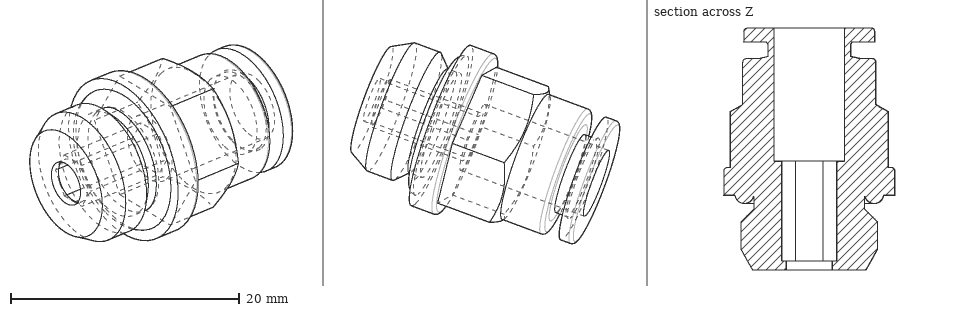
import cadquery as cq
import math

length = 21.2

thread_radius = 12.0 / 2
tip_radius = 9.96 / 2
tip_length = 1.82
thread_end = 4.2
undercut_radius = 9.7 / 2
undercut_start = thread_end + thread_radius - undercut_radius

seal_radius = 13.05 / 2
seal_start = 5.8
seal_section_radius = (seal_radius - undercut_radius) / 2

flange_radius = 15.0 / 2
flange_start = 6.53
flange_end = 8.99
flange_round = 0.32

hex_across_flats = 12.0
hex_end = 14.5
hex_chamfer_angle = 30.0

body_radius = 11.7 / 2
body_end = 18.53
body_round = 0.34
cone_radius = 8.99 / 2
cone_height = 0.2

neck_radius = 7.3 / 2
collar_radius = 11.5 / 2
collar_start = length - 1.23
collar_round = 0.3
neck_flare_width = 0.13
neck_flare_height = 0.2

bore_diameter = 4.0
bore_length = 0.8
key_across_flats = 4.15
tube_diameter = 6.15
tube_socket_start = 9.55


def corner_diameter(across_flats):
    """Diameter through the corners of a regular hexagon."""
    return across_flats / math.cos(math.pi / 6)


def section(start):
    """Sketch plane across the axis at Y = start; its normal points toward -Y."""
    return cq.Workplane("XZ", origin=(0, start, 0))


def hexagon(across_flats, start, end):
    """Hexagonal prism along Y with corners on the X axis."""
    return section(start).polygon(6, corner_diameter(across_flats)).extrude(start - end)


def cylinder(diameter, start, end):
    return section(start).circle(diameter / 2).extrude(start - end)


def revolve_profile(profile):
    return profile.close().revolve(360, (0, 0, 0), (0, 1, 0))


def rounded_disc(radius, start, end, edge_round):
    """Disc along Y with its outer edge rounded at the tube end."""
    return cylinder(2 * radius, start, end).faces(">Y").edges().fillet(edge_round)


def make_threaded_end():
    return revolve_profile(
        cq.Workplane("XY")
        .moveTo(0, 0)
        .lineTo(tip_radius, 0)
        .lineTo(thread_radius, tip_length)
        .lineTo(thread_radius, thread_end)
        .lineTo(undercut_radius, undercut_start)
        .lineTo(undercut_radius, flange_start)
        .lineTo(0, flange_start)
    )


def make_seal():
    """O-ring with a round section that touches the undercut."""
    return (
        cq.Workplane("XY")
        .moveTo(undercut_radius + seal_section_radius, seal_start + seal_section_radius)
        .circle(seal_section_radius)
        .revolve(360, (0, 0, 0), (0, 1, 0))
    )


def make_hex_body():
    """Wrench hexagon with its corners bevelled by a cone that starts at the body."""
    corner_radius = corner_diameter(hex_across_flats) / 2
    bevel_height = (corner_radius - body_radius) * math.tan(math.radians(hex_chamfer_angle))
    bevel_envelope = revolve_profile(
        cq.Workplane("XY")
        .moveTo(0, flange_end)
        .lineTo(corner_radius, flange_end)
        .lineTo(corner_radius, hex_end - bevel_height)
        .lineTo(body_radius, hex_end)
        .lineTo(0, hex_end)
    )
    return hexagon(hex_across_flats, flange_end, hex_end).intersect(bevel_envelope)


def make_neck():
    """Release sleeve neck, from the coned body end to the flare below the collar."""
    return revolve_profile(
        cq.Workplane("XY")
        .moveTo(0, body_end)
        .lineTo(cone_radius, body_end)
        .lineTo(neck_radius, body_end + cone_height)
        .lineTo(neck_radius, collar_start - neck_flare_height)
        .lineTo(neck_radius + neck_flare_width, collar_start)
        .lineTo(0, collar_start)
    )


def make_passage():
    """Round entry, hexagon key socket and tube socket, open from end to end."""
    return (
        cylinder(bore_diameter, 0, bore_length)
        .union(hexagon(key_across_flats, bore_length, tube_socket_start))
        .union(cylinder(tube_diameter, tube_socket_start, length))
    )


result = (
    make_threaded_end()
    .union(make_seal())
    .union(rounded_disc(flange_radius, flange_start, flange_end, flange_round))
    .union(make_hex_body())
    .union(rounded_disc(body_radius, hex_end, body_end, body_round))
    .union(make_neck())
    .union(rounded_disc(collar_radius, collar_start, length, collar_round))
    .cut(make_passage())
)